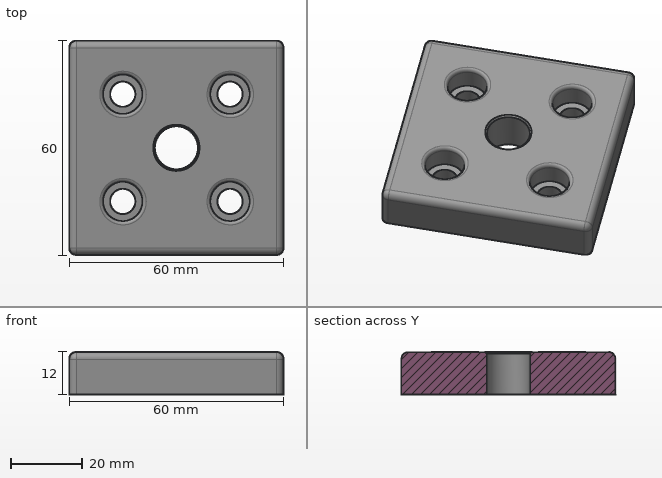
import cadquery as cq

side = 60.0
thickness = 12.0
edge_radius = 2.0

center_hole_diameter = 12.0
center_chamfer = 0.5

screw_spacing = side / 2
screw_hole_diameter = 7.0
counterbore_diameter = 11.0
counterbore_depth = 6.8
counterbore_lip_radius = 1.0


def make_plate():
    """Square plate, underside at Z = 0, rounded on its upright and top edges."""
    plate = cq.Workplane("XY").box(side, side, thickness, centered=(True, True, False))
    return plate.edges("|Z or >Z").fillet(edge_radius)


def make_center_cutter():
    """Through hole with a chamfered mouth at the top face."""
    radius = center_hole_diameter / 2
    return (
        cq.Workplane("XZ")
        .lineTo(radius, 0)
        .lineTo(radius, thickness - center_chamfer)
        .lineTo(radius + center_chamfer, thickness)
        .lineTo(0, thickness)
        .close()
        .revolve(360, (0, 0), (0, 1))
    )


def make_screw_cutter():
    """Through hole and counterbore, flaring at the top to leave a rounded lip."""
    hole_radius = screw_hole_diameter / 2
    bore_radius = counterbore_diameter / 2
    floor_height = thickness - counterbore_depth
    return (
        cq.Workplane("XZ")
        .lineTo(hole_radius, 0)
        .lineTo(hole_radius, floor_height)
        .lineTo(bore_radius, floor_height)
        .lineTo(bore_radius, thickness - counterbore_lip_radius)
        .radiusArc((bore_radius + counterbore_lip_radius, thickness), counterbore_lip_radius)
        .lineTo(0, thickness)
        .close()
        .revolve(360, (0, 0), (0, 1))
    )


result = make_plate().cut(make_center_cutter())

screw_cutter = make_screw_cutter()
for x_sign in (-1, 1):
    for y_sign in (-1, 1):
        position = (x_sign * screw_spacing / 2, y_sign * screw_spacing / 2, 0)
        result = result.cut(screw_cutter.translate(position))